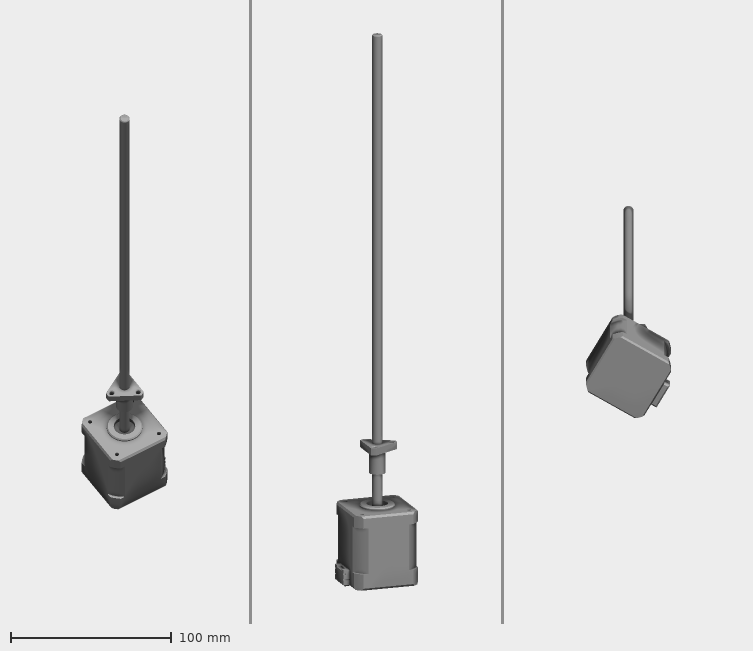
import cadquery as cq
import math

TOTAL_HEIGHT = 352.5

MOTOR_SIDE = 42.3
MOTOR_HEIGHT = 48.0
CAP_THICKNESS = 7.8
CAP_CORNER_RADIUS = 26.8
STATOR_CORNER_RADIUS = 25.0
REAR_HEIGHT = 10.5
BEVEL_HEIGHT = 1.5
BEVEL_WIDTH = 0.95

PILOT_DIAMETER = 22.2
PILOT_HEIGHT = 1.6
PILOT_CHAMFER = 0.7
RECESS_DIAMETER = 13.5
RECESS_DEPTH = 2.8
MOUNT_HOLE_DIAMETER = 2.65
MOUNT_HOLE_PITCH = 31.0
MOUNT_HOLE_DEPTH = 4.5

COIL_COUNT = 8
COIL_INNER_RADIUS = 13.0
COIL_LENGTH = 3.5
COIL_WIDTH = 5.3
COIL_COVER = 1.35

SCREW_DIAMETER = 6.5
SCREW_CHAMFER = 0.53
NUT_BOTTOM = 69.5
NUT_TOP = 88.5
NUT_DIAMETER = 10.5
FLANGE_THICKNESS = 4.5
FLANGE_RADIUS = 12.7
FLANGE_FLAT_DISTANCE = 7.8
FLANGE_HOLE_DIAMETER = 2.8
FLANGE_HOLE_CHAMFER = 0.53
FLANGE_HOLE_RADIUS = 9.5

CONNECTOR_WIDTH = 16.5
CONNECTOR_DEPTH = 4.0
CONNECTOR_BEVEL = 1.0
GROOVE_DEPTH = 1.0
GROOVE_BOTTOM = 4.0
GROOVE_HEIGHT = 1.0
NOTCH_BOTTOM = 7.5
NOTCH_HEIGHT = 1.0
NOTCH_LENGTH = 1.5
KEYWAY_WIDTH = 8.5
KEYWAY_LENGTH = 2.5
KEYWAY_DEPTH = 1.0

HALF_SIDE = MOTOR_SIDE / 2
STATOR_TOP = MOTOR_HEIGHT - CAP_THICKNESS
COIL_HEIGHT = CAP_THICKNESS - COIL_COVER
PILOT_TOP = MOTOR_HEIGHT + PILOT_HEIGHT
FLANGE_BOTTOM = NUT_TOP - FLANGE_THICKNESS
FLANGE_CORNER_ANGLES = (30, 150, 270)


def cylinder(diameter, bottom, height):
    """Upright cylinder on the motor axis."""
    return cq.Workplane("XY").workplane(offset=bottom).circle(diameter / 2).extrude(height)


def rounded_block(corner_radius, bottom, height):
    """Square block of the motor's side with its corners turned to one radius about the axis."""
    block = cq.Workplane("XY").workplane(offset=bottom).rect(MOTOR_SIDE, MOTOR_SIDE).extrude(height)
    return block.intersect(cylinder(2 * corner_radius, bottom, height))


def beveled_envelope():
    """Motor-sized box whose four top and four bottom edges are beveled."""
    slope = math.degrees(math.atan2(BEVEL_WIDTH, BEVEL_HEIGHT))
    inner_side = MOTOR_SIDE - 2 * BEVEL_WIDTH
    lower = cq.Workplane("XY").rect(inner_side, inner_side).extrude(BEVEL_HEIGHT, taper=-slope)
    middle = (
        cq.Workplane("XY").workplane(offset=BEVEL_HEIGHT)
        .rect(MOTOR_SIDE, MOTOR_SIDE).extrude(MOTOR_HEIGHT - 2 * BEVEL_HEIGHT)
    )
    upper = (
        cq.Workplane("XY").workplane(offset=MOTOR_HEIGHT - BEVEL_HEIGHT)
        .rect(MOTOR_SIDE, MOTOR_SIDE).extrude(BEVEL_HEIGHT, taper=slope)
    )
    return lower.union(middle).union(upper)


def coil_heads():
    """Ring of rectangular coil heads standing on the stator."""
    heads = cq.Workplane("XY")
    for index in range(COIL_COUNT):
        head = (
            cq.Workplane("XY").workplane(offset=STATOR_TOP)
            .center(COIL_INNER_RADIUS + COIL_LENGTH / 2, 0)
            .rect(COIL_LENGTH, COIL_WIDTH).extrude(COIL_HEIGHT)
            .rotate((0, 0, 0), (0, 0, 1), index * 360 / COIL_COUNT)
        )
        heads = heads.add(head)
    return heads.combine()


def make_stator():
    """Stator with its rear cover and coil heads; the corners step out at the rear cover."""
    rear = rounded_block(CAP_CORNER_RADIUS, 0, REAR_HEIGHT)
    core = rounded_block(STATOR_CORNER_RADIUS, REAR_HEIGHT, STATOR_TOP - REAR_HEIGHT)
    body = rear.union(core).intersect(beveled_envelope()).clean()
    return body.union(coil_heads())


def make_front_cap():
    """Front cover with pilot ring, bearing recess, mounting holes and coil pockets."""
    cap = rounded_block(CAP_CORNER_RADIUS, STATOR_TOP, CAP_THICKNESS).intersect(beveled_envelope())
    pilot = cylinder(PILOT_DIAMETER, MOTOR_HEIGHT, PILOT_HEIGHT).edges(">Z").chamfer(PILOT_CHAMFER)
    cap = cap.union(pilot)
    cap = cap.cut(cylinder(RECESS_DIAMETER, PILOT_TOP - RECESS_DEPTH, RECESS_DEPTH))
    cap = cap.cut(cylinder(SCREW_DIAMETER, STATOR_TOP, PILOT_TOP - STATOR_TOP))
    mount_holes = (
        cq.Workplane("XY").workplane(offset=MOTOR_HEIGHT - MOUNT_HOLE_DEPTH)
        .rect(MOUNT_HOLE_PITCH, MOUNT_HOLE_PITCH, forConstruction=True).vertices()
        .circle(MOUNT_HOLE_DIAMETER / 2).extrude(MOUNT_HOLE_DEPTH)
    )
    return cap.cut(mount_holes).cut(coil_heads())


def make_screw():
    """Lead screw, from the stator face up through the cap and the nut."""
    screw_body = cylinder(SCREW_DIAMETER, STATOR_TOP, TOTAL_HEIGHT - STATOR_TOP)
    return screw_body.edges(">Z").chamfer(SCREW_CHAMFER)


def make_nut():
    """Lead nut: a sleeve under a round flange with three flats and a hole in each corner."""
    triangle = (
        cq.Workplane("XY").workplane(offset=FLANGE_BOTTOM)
        .polygon(3, 4 * FLANGE_FLAT_DISTANCE).extrude(FLANGE_THICKNESS)
        .rotate((0, 0, 0), (0, 0, 1), FLANGE_CORNER_ANGLES[0])
    )
    flange = triangle.intersect(cylinder(2 * FLANGE_RADIUS, FLANGE_BOTTOM, FLANGE_THICKNESS))
    for angle in FLANGE_CORNER_ANGLES:
        x = FLANGE_HOLE_RADIUS * math.cos(math.radians(angle))
        y = FLANGE_HOLE_RADIUS * math.sin(math.radians(angle))
        hole = cylinder(FLANGE_HOLE_DIAMETER, FLANGE_BOTTOM, FLANGE_THICKNESS).translate((x, y, 0))
        flange = flange.cut(hole)
    hole_rims = flange.faces(">Z").edges("%CIRCLE").edges(cq.selectors.RadiusNthSelector(0))
    flange = hole_rims.chamfer(FLANGE_HOLE_CHAMFER)
    nut = flange.union(cylinder(NUT_DIAMETER, NUT_BOTTOM, FLANGE_BOTTOM - NUT_BOTTOM))
    return nut.cut(cylinder(SCREW_DIAMETER, NUT_BOTTOM, NUT_TOP - NUT_BOTTOM))


def make_connector():
    """Plug socket on the rear cover: a groove and a notch in each end, and a keyway in the top."""
    outer_y = HALF_SIDE + CONNECTOR_DEPTH
    connector = (
        cq.Workplane("XY").box(CONNECTOR_WIDTH, CONNECTOR_DEPTH, REAR_HEIGHT, centered=(True, False, False))
        .edges("<Z and (|Y or >Y)").chamfer(CONNECTOR_BEVEL)
        .translate((0, HALF_SIDE, 0))
    )
    for side in (-1, 1):
        end_x = side * CONNECTOR_WIDTH / 2
        groove = cq.Workplane("XY").box(
            2 * GROOVE_DEPTH, CONNECTOR_DEPTH, GROOVE_HEIGHT, centered=(True, False, False)
        ).translate((end_x, HALF_SIDE, GROOVE_BOTTOM))
        notch = cq.Workplane("XY").box(
            2 * GROOVE_DEPTH, NOTCH_LENGTH, NOTCH_HEIGHT, centered=(True, False, False)
        ).translate((end_x, outer_y - NOTCH_LENGTH, NOTCH_BOTTOM))
        connector = connector.cut(groove).cut(notch)
    keyway = cq.Workplane("XY").box(
        KEYWAY_WIDTH, KEYWAY_LENGTH, KEYWAY_DEPTH, centered=(True, False, False)
    ).translate((0, outer_y - KEYWAY_LENGTH, REAR_HEIGHT - KEYWAY_DEPTH))
    return connector.cut(keyway)


stator = make_stator()
front_cap = make_front_cap()
screw = make_screw()
nut = make_nut()
connector = make_connector()

result = cq.Compound.makeCompound([
    stator.val(),
    front_cap.val(),
    screw.val(),
    nut.val(),
    connector.val(),
])